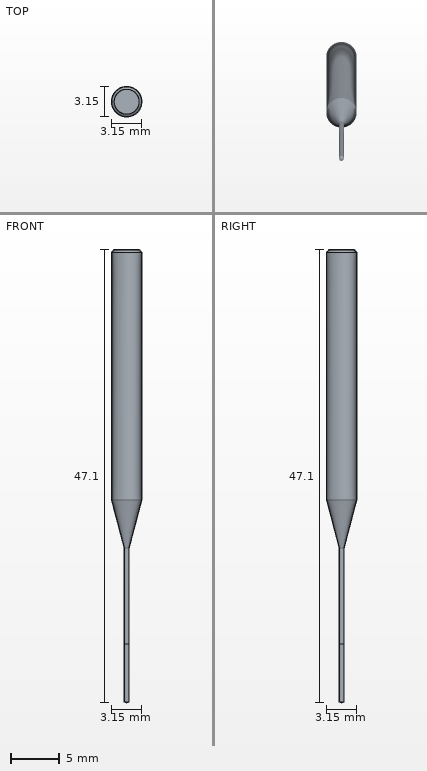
import cadquery as cq

total_length = 47.1
shank_diameter = 3.15
shank_length = 26.0
chamfer_size = 0.3
taper_length = 5.0
neck_diameter = 0.5
cutter_diameter = 0.5
cutter_length = 6.12
point_height = 0.1

shank_radius = shank_diameter / 2
neck_radius = neck_diameter / 2
cutter_radius = cutter_diameter / 2
shank_bottom = total_length - shank_length
taper_bottom = shank_bottom - taper_length


def revolve_profile(points):
    """Revolve a closed (radius, height) profile about the Z axis."""
    return cq.Workplane("XZ").polyline(points).close().revolve(360, (0, 0), (0, 1))


def make_holder():
    """Chamfered shank, taper and slender neck, ending where the cutter starts."""
    return revolve_profile([
        (0, cutter_length),
        (neck_radius, cutter_length),
        (neck_radius, taper_bottom),
        (shank_radius, shank_bottom),
        (shank_radius, total_length - chamfer_size),
        (shank_radius - chamfer_size, total_length),
        (0, total_length),
    ])


def make_cutter():
    """Cylindrical cutting end with a shallow conical point."""
    return revolve_profile([
        (0, 0),
        (cutter_radius, point_height),
        (cutter_radius, cutter_length),
        (0, cutter_length),
    ])


holder = make_holder()
cutter = make_cutter()

result = cq.Compound.makeCompound([holder.val(), cutter.val()])